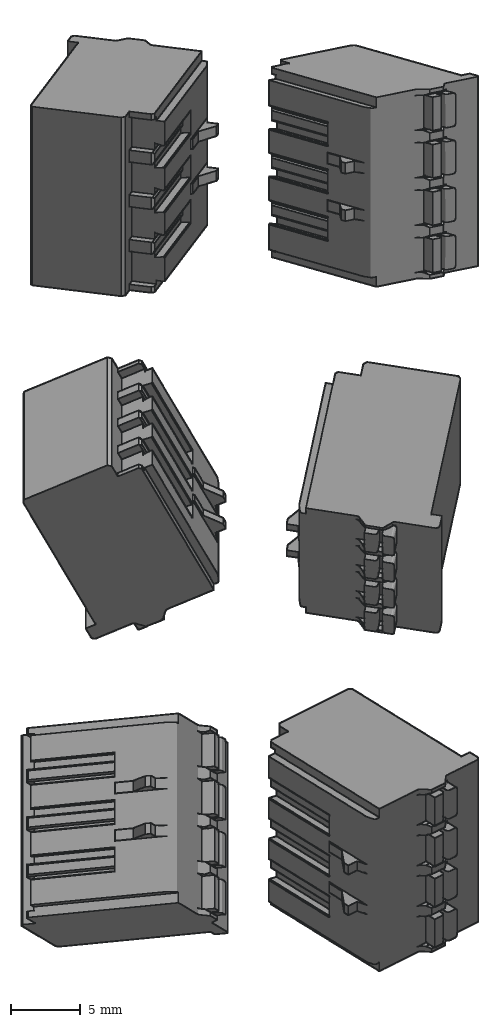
import cadquery as cq

height = 14.0
pitch = 3.5
positions = 4
mid_z = height / 2

housing_back = 13.0
wall_left = 0.8
housing_right = 9.72
flange_thickness = 1.1
flange_radius = 0.3
front_left_chamfer = 0.18
front_right_chamfer = 0.24

step_x = 7.88
step_y = 1.2
pocket_floor_y = 1.82
rib_width = 0.92
rib_corner_chamfer = 0.18
rib_side_chamfer = 0.13

strip_right = 10.33
strip_end_gap = 0.74
strip_back_corner_x = 10.12
strip_slope_start_y = 12.33
strip_corner_radius = 0.21

groove_floor_x = 9.58
groove_floor_width = 1.93
groove_neck_width = 1.68
groove_lip = 0.07

latch_tip_x = 11.4
latch_width = 0.8
latch_shoulder_x = 10.55
latch_shoulder_y = 11.55
latch_tip_y = 11.1
latch_root_x = 10.45
latch_root_y = 9.8
latch_foot_y = 8.32

hump_left = 3.3
hump_crest_left = 3.98
hump_crest_right = 5.26
hump_right = 5.9
hump_crest_y = 13.68
hump_base_radius = 0.34
hump_bevel_rise = 0.31
hump_bevel_inset = 0.17

post_left = 3.11
post_right = 5.26
post_back = 14.0
post_width = 2.46
post_side_radius = 0.21
slot_left = 4.0
slot_right = 4.33
slot_radius = 0.22

overlap = 0.14

rib_centers = [pitch * i for i in range(positions + 1)]
inner_rib_centers = rib_centers[1:-1]
bay_centers = [pitch * (i + 0.5) for i in range(positions)]
latch_centers = bay_centers[1:-1]


def prism(points, center_z, width):
    """Extrude an XY outline by width, centred on center_z."""
    outline = cq.Workplane("XY", origin=(0, 0, center_z)).polyline(points).close()
    return outline.extrude(width / 2, both=True)


def block(x_range, y_range, center_z, width):
    """Rectangular block centred on center_z."""
    (x0, x1), (y0, y1) = x_range, y_range
    return prism([(x0, y0), (x1, y0), (x1, y1), (x0, y1)], center_z, width)


def symmetric_profile(half, center_z):
    """Complete a profile of (position, z offset) points by mirroring it about center_z."""
    full = half + [(u, -z) for u, z in reversed(half)]
    return [(u, center_z + z) for u, z in full]


def run_along_strip(points):
    """Extrude an XZ profile from Y = 0 back to the foot of the latches."""
    return cq.Workplane("XZ").polyline(points).close().extrude(-latch_foot_y)


def housing():
    """Full-height housing with its flange and the stepped front corner."""
    flange_front = housing_back - flange_thickness
    outline = [
        (wall_left + front_left_chamfer, 0),
        (step_x - front_right_chamfer, 0),
        (step_x, front_right_chamfer),
        (step_x, step_y),
        (housing_right - rib_corner_chamfer, step_y),
        (housing_right, step_y + rib_corner_chamfer),
        (housing_right, housing_back),
        (0, housing_back),
        (0, flange_front),
        (wall_left, flange_front),
        (wall_left, front_left_chamfer),
    ]
    flange_corner = cq.selectors.NearestToPointSelector((0, housing_back, mid_z))
    return prism(outline, mid_z, height).edges(flange_corner).fillet(flange_radius)


def step_pocket(center_z):
    """Space between two neighbouring ribs of the step."""
    return block((step_x, housing_right), (0, pocket_floor_y), center_z, pitch - rib_width)


def strip():
    """Raised strip with a sloping back corner."""
    outline = [
        (housing_right - overlap, pocket_floor_y),
        (strip_right, pocket_floor_y),
        (strip_right, strip_slope_start_y),
        (strip_back_corner_x, housing_back),
        (housing_right - overlap, housing_back),
    ]
    back_corner = cq.selectors.NearestToPointSelector((strip_back_corner_x, housing_back, mid_z))
    body = prism(outline, mid_z, height - 2 * strip_end_gap)
    return body.edges(back_corner).fillet(strip_corner_radius)


def groove(center_z):
    """Undercut groove from the front of the strip up to the foot of the latches."""
    floor = groove_floor_width / 2
    neck = groove_neck_width / 2
    half = [
        (groove_floor_x, floor),
        (strip_right - groove_lip, neck),
        (strip_right, neck + groove_lip),
    ]
    return run_along_strip(symmetric_profile(half, center_z))


def inner_rib(center_z):
    """Rib with a bevelled end that runs from the step along the floor of a groove."""
    half_width = rib_width / 2
    end_half_width = half_width - rib_side_chamfer
    bevel_x = housing_right - rib_side_chamfer
    half = [
        (step_x - overlap, half_width),
        (bevel_x, half_width),
        (housing_right, end_half_width),
    ]
    bar = run_along_strip(symmetric_profile(half, center_z))
    limits = [
        (step_x - overlap, step_y),
        (housing_right - rib_corner_chamfer, step_y),
        (housing_right, step_y + rib_corner_chamfer),
        (housing_right, latch_foot_y),
        (step_x - overlap, latch_foot_y),
    ]
    return bar.intersect(prism(limits, center_z, rib_width))


def latch(center_z):
    """Hooked latch on the strip."""
    root_x = housing_right
    foot_chamfer = latch_root_x - strip_right
    outline = [
        (root_x, strip_slope_start_y),
        (strip_right, strip_slope_start_y),
        (latch_shoulder_x, latch_shoulder_y),
        (latch_tip_x, latch_shoulder_y),
        (latch_tip_x, latch_tip_y),
        (latch_root_x, latch_root_y),
        (latch_root_x, latch_foot_y + foot_chamfer),
        (strip_right, latch_foot_y),
        (root_x, latch_foot_y),
    ]
    return prism(outline, center_z, latch_width)


def hump(center_z):
    """Sloped hump on the back face with bevelled sides."""
    base = housing_back - overlap
    outline = [
        (hump_left - hump_base_radius, base),
        (hump_right + hump_base_radius, base),
        (hump_right + hump_base_radius, housing_back),
        (hump_right, housing_back),
        (hump_crest_right, hump_crest_y),
        (hump_crest_left, hump_crest_y),
        (hump_left, housing_back),
        (hump_left - hump_base_radius, housing_back),
    ]
    body = prism(outline, center_z, rib_width)
    for x in (hump_left, hump_right):
        foot = cq.selectors.NearestToPointSelector((x, housing_back, center_z))
        body = body.edges(foot).fillet(hump_base_radius)

    half_width = rib_width / 2
    half = [
        (base, half_width),
        (hump_crest_y - hump_bevel_rise, half_width),
        (hump_crest_y, half_width - hump_bevel_inset),
    ]
    side_profile = cq.Workplane("YZ").polyline(symmetric_profile(half, center_z)).close()
    return body.intersect(side_profile.extrude(housing_right))


def post(center_z):
    """Post with rounded left edges and a rounded slot down to the back face."""
    body = block((post_left, post_right), (housing_back - overlap, post_back), center_z, post_width)
    body = body.edges("|Y and <X").fillet(post_side_radius)
    body = body.cut(block((slot_left, slot_right), (housing_back, post_back), center_z, post_width))
    for x in (slot_left, slot_right):
        slot_edge = cq.selectors.NearestToPointSelector((x, post_back, center_z))
        body = body.edges(slot_edge).fillet(slot_radius)
    return body


result = housing()
for z in bay_centers:
    result = result.cut(step_pocket(z))

result = result.union(strip())
for z in inner_rib_centers:
    result = result.cut(groove(z)).union(inner_rib(z))

for z in latch_centers:
    result = result.union(latch(z))

for z in bay_centers:
    result = result.union(post(z))

full_height = block((0, latch_tip_x), (0, post_back), mid_z, height)
for z in rib_centers:
    result = result.union(hump(z).intersect(full_height))